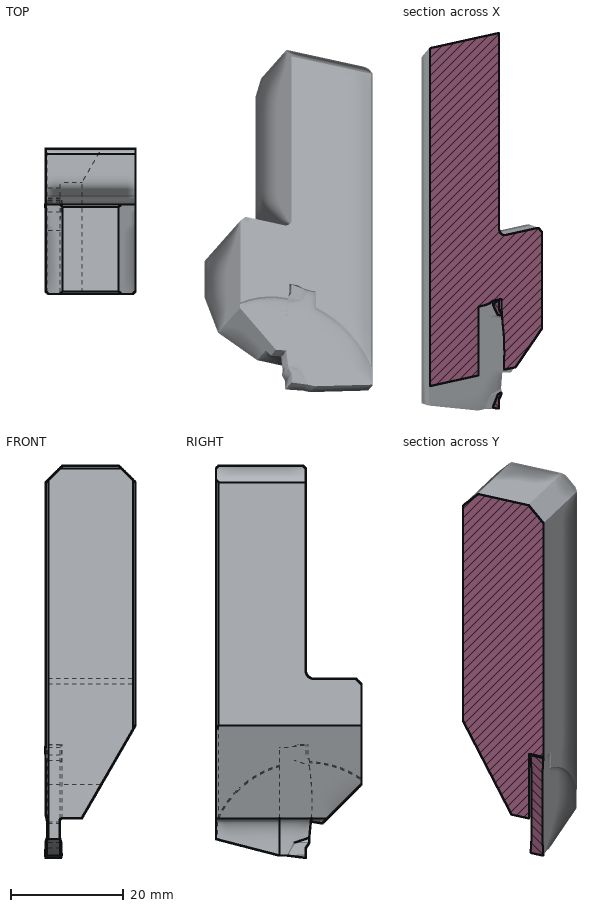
import cadquery as cq
import math

height = 70.0
shank_width = 16.0
shank_depth = 16.0
head_depth = 26.0

top_bevel = 3.0
edge_chamfer = 0.5

foot_top = 32.0
foot_inner_radius = 1.5
foot_outer_chamfer = 1.0
foot_heel_z = 13.15
foot_toe_y = 19.0
foot_toe_z = foot_heel_z - (head_depth - foot_toe_y)
jaw_z = 6.45

blade_side_x = 0.2
blade_back_x = 2.5
blade_top = 7.1
blade_root_radius = 0.4
shoulder_x = 6.45
shoulder_angle = 60.0
relief_center_y = 16.1
relief_center_z = -0.3
relief_radius = 17.5

insert_length = 20.15
insert_mid_z = insert_length / 2
insert_front_y = 11.35
insert_bulge_y = 17.15
tip_overhang = 0.35
tip_corner_break = 0.15
insert_end_z = 0.4
holder_front_z = 3.35

tip_corner = (16.0, 0.0)
tip_widest = (16.0, 0.55)
rake_bottom = (16.0, 1.75)
rake_top = (16.65, 2.7)
tip_shoulder = (16.65, 3.65)
flank_inner = (14.0, 2.7)
flank_outer = (12.75, insert_end_z)

clearance_back_y = 16.45
clearance_top_z = 20.2
clearance_bend_y = 14.6
clearance_end_y = 13.45
clearance_floor_x = blade_back_x + tip_overhang


def mirrored(point):
    """The matching (y, z) point on the upper end of the insert."""
    return (point[0], insert_length - point[1])


def extrude_along_x(sketch, start, end):
    """Extrude a closed YZ outline from x = start to x = end."""
    return sketch.close().extrude(end - start).translate((start, 0, 0))


def yz_sketch(point):
    return cq.Workplane("YZ").moveTo(*point)


def side_profile():
    """Outline of shank, foot and blade in YZ, over the full width."""
    outline = [
        (0, height),
        (shank_depth, height),
        (shank_depth, foot_top),
        (head_depth, foot_top),
        (head_depth, foot_heel_z),
        (foot_toe_y, foot_toe_z),
        (insert_bulge_y, jaw_z),
        (insert_front_y, jaw_z),
        (insert_front_y, insert_end_z),
        (0, holder_front_z),
    ]
    body = extrude_along_x(cq.Workplane("YZ").polyline(outline), 0, shank_width)
    inner_corner = cq.selectors.NearestToPointSelector((shank_width / 2, shank_depth, foot_top))
    outer_corner = cq.selectors.NearestToPointSelector((shank_width / 2, head_depth, foot_top))
    body = body.edges(inner_corner).fillet(foot_inner_radius)
    body = body.edges(outer_corner).chamfer(foot_outer_chamfer)
    return body.faces(">Z").edges("|X").chamfer(edge_chamfer)


def front_profile():
    """Outline in XZ: bevelled top, sloped right side, shoulder and thin blade."""
    slope_top = blade_top + (shank_width - shoulder_x) * math.tan(math.radians(shoulder_angle))
    outline = [
        (0, 0),
        (blade_back_x, 0),
        (blade_back_x, blade_top),
        (shoulder_x, blade_top),
        (shank_width, slope_top),
        (shank_width, height - top_bevel),
        (shank_width - top_bevel, height),
        (top_bevel, height),
        (0, height - top_bevel),
    ]
    body = cq.Workplane("XZ").polyline(outline).close().extrude(-head_depth)
    root = cq.selectors.NearestToPointSelector((blade_back_x, head_depth / 2, blade_top))
    body = body.edges(root).fillet(blade_root_radius)
    return body.faces("<X or >X").edges("<Y and |Z").chamfer(edge_chamfer)


def side_relief():
    """Shallow disc with a 45 degree rim that lowers the blade side."""
    return (
        cq.Workplane("YZ")
        .center(relief_center_y, relief_center_z)
        .circle(relief_radius)
        .extrude(blade_side_x, taper=45)
    )


def insert_outline():
    """Long YZ outline of the insert, without the raised tip sides."""
    return (
        yz_sketch((insert_front_y, insert_end_z))
        .lineTo(*flank_outer)
        .lineTo(*tip_corner)
        .lineTo(*rake_bottom)
        .lineTo(*rake_top)
        .lineTo(*tip_shoulder)
        .threePointArc((insert_bulge_y, insert_mid_z), mirrored(tip_shoulder))
        .lineTo(*mirrored(rake_top))
        .lineTo(*mirrored(rake_bottom))
        .lineTo(*mirrored(tip_corner))
        .lineTo(*mirrored(flank_outer))
        .lineTo(insert_front_y, insert_length - insert_end_z)
    )


def insert_pocket():
    """Seat that follows the insert and leaves a gap around its upper tip."""
    seat = extrude_along_x(insert_outline(), 0, clearance_floor_x)
    clearance = (
        yz_sketch(mirrored(flank_inner))
        .lineTo(*mirrored(rake_top))
        .lineTo(clearance_back_y, mirrored(rake_bottom)[1])
        .lineTo(clearance_back_y, clearance_top_z)
        .lineTo(clearance_bend_y, clearance_top_z)
        .lineTo(clearance_end_y, insert_length - insert_end_z)
    )
    return seat.union(extrude_along_x(clearance, 0, clearance_floor_x))


def make_holder():
    body = side_profile().intersect(front_profile())
    return body.cut(side_relief()).cut(insert_pocket())


def polyhedron(faces):
    """Solid bounded by flat faces, each given as a list of its corner points."""
    flat_faces = [cq.Face.makeFromWires(cq.Wire.makePolygon(corners, close=True)) for corners in faces]
    return cq.Workplane(cq.Solid.makeSolid(cq.Shell.makeShell(flat_faces)))


def tip_side():
    """Raised wedge on the side of the lower tip, from the blade side outwards.

    Its flank rises from the line flank_inner - flank_outer to the widest point.
    Bevels lead from the flank to the cutting corner and back to the insert side.
    """
    run_y = flank_inner[0] - flank_outer[0]
    run_z = flank_inner[1] - flank_outer[1]

    def offset(point):
        """Measure proportional to the distance from the line where the flank starts."""
        return (point[0] - flank_inner[0]) * run_z - (point[1] - flank_inner[1]) * run_y

    def base(point):
        return cq.Vector(blade_side_x, *point)

    def raised(point):
        rise = tip_overhang * offset(point) / offset(tip_widest)
        return cq.Vector(blade_side_x - rise, *point)

    corner = cq.Vector(blade_side_x - tip_overhang + tip_corner_break, *tip_corner)
    base_outline = (flank_inner, flank_outer, tip_corner, rake_bottom, rake_top, tip_shoulder)
    flank_outline = (flank_inner, flank_outer, tip_widest, rake_bottom, rake_top)
    base_face = [base(point) for point in base_outline]
    flank = [raised(point) for point in flank_outline]
    corner_bevel = [base(flank_outer), raised(tip_widest), corner]
    end = [base(flank_outer), corner, base(tip_corner)]
    rear = [base(tip_corner), corner, raised(tip_widest), raised(rake_bottom), base(rake_bottom)]
    rake = [base(rake_bottom), raised(rake_bottom), raised(rake_top), base(rake_top)]
    shoulder = [base(rake_top), raised(rake_top), base(tip_shoulder)]
    shoulder_bevel = [base(flank_inner), raised(rake_top), base(tip_shoulder)]
    return polyhedron([base_face, flank, corner_bevel, end, rear, rake, shoulder, shoulder_bevel])


def make_insert():
    body = extrude_along_x(insert_outline(), blade_side_x, blade_back_x)
    middle = ((blade_side_x + blade_back_x) / 2, 0, insert_mid_z)
    near_side = tip_side()
    far_side = near_side.mirror("YZ", middle)
    for wedge in (near_side, far_side):
        body = body.union(wedge).union(wedge.mirror("XY", middle))
    return body


holder = make_holder()
insert = make_insert()
result = cq.Compound.makeCompound([holder.val(), insert.val()])